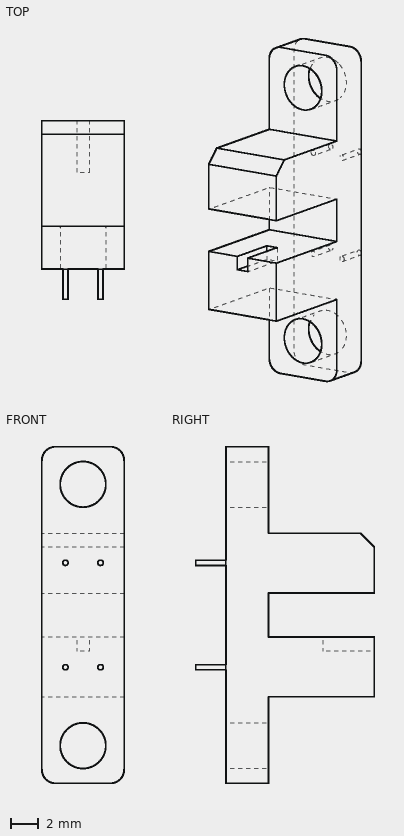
import cadquery as cq

height = 24.5
width = 6.0
plate_depth = 3.1
corner_radius = 1.0

hole_diameter = 3.3
hole_spacing = 19.0

arm_length = 7.7
arms_height = 11.9
gap_height = 3.18
arm_chamfer = 1.0

slit_width = 0.9
slit_length = 3.75
slit_depth = 1.0

pin_diameter = 0.4
pin_length = 2.2
pin_spacing_x = 2.55
pin_spacing_z = 7.6


def make_plate():
    plate = cq.Workplane("XY").box(width, plate_depth, height, centered=(True, False, True))
    plate = plate.edges("|Y").fillet(corner_radius)
    holes = (
        cq.Workplane("XZ")
        .pushPoints([(0, -hole_spacing / 2), (0, hole_spacing / 2)])
        .circle(hole_diameter / 2)
        .extrude(-plate_depth)
    )
    return plate.cut(holes)


def make_arm(side):
    """Arm above (side = 1) or below (side = -1) the gap."""
    arm_height = (arms_height - gap_height) / 2
    arm_center = side * (gap_height + arm_height) / 2
    return (
        cq.Workplane("XY")
        .box(width, arm_length, arm_height, centered=(True, False, True))
        .translate((0, plate_depth, arm_center))
    )


def make_slit():
    tip = plate_depth + arm_length
    return (
        cq.Workplane("XY")
        .box(slit_width, slit_length, slit_depth, centered=(True, False, False))
        .translate((0, tip - slit_length, -gap_height / 2 - slit_depth))
    )


def make_pins():
    return (
        cq.Workplane("XZ")
        .rect(pin_spacing_x, pin_spacing_z, forConstruction=True)
        .vertices()
        .circle(pin_diameter / 2)
        .extrude(pin_length)
    )


upper_arm = make_arm(1).faces(">Z").edges(">Y").chamfer(arm_chamfer)
lower_arm = make_arm(-1).cut(make_slit())

result = make_plate().union(upper_arm).union(lower_arm).union(make_pins())